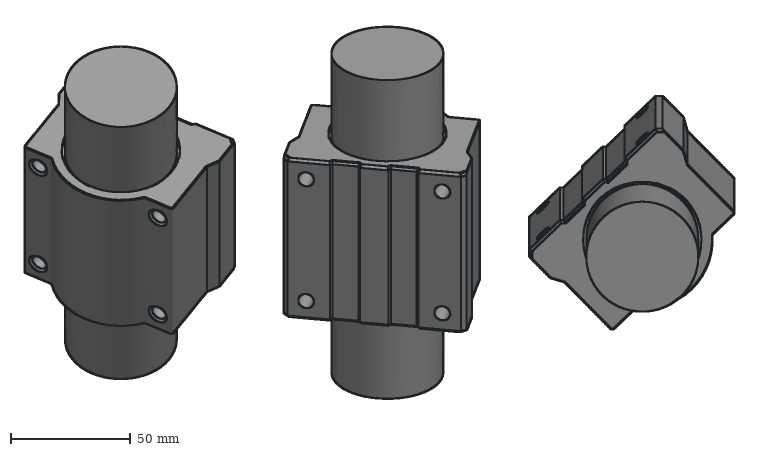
import cadquery as cq
import math

shaft_length = 152.0
shaft_diameter = 47.0

block_length = 76.0
flange_half_width = 78.0 / 2
body_half_width = 36.0
mounting_face_y = 30.0
front_face_y = -19.0
barrel_radius = 29.5
flange_taper_start_y = 15.2
flange_taper_end_y = 9.7
back_corner_chamfer = 2.0
edge_fillet = 1.0

groove_inner_x = 7.0
groove_outer_x = 18.0
groove_depth = 1.0
groove_wall_slant = 0.9

back_end_chamfer = 1.2
rim_chamfer = 0.3

recess_diameter = 49.5
recess_depth = 2.0

hole_diameter = 6.7
hole_mouth_diameter = 8.8
hole_offset_x = 29.0
hole_offset_z = 29.0


def make_block_blank():
    """Flanged block with the half-round barrel bulging out of its front face."""
    barrel_half_width = math.sqrt(barrel_radius**2 - front_face_y**2)
    profile = (
        cq.Workplane("XY")
        .workplane(offset=-block_length / 2)
        .moveTo(-flange_half_width + back_corner_chamfer, mounting_face_y)
        .lineTo(flange_half_width - back_corner_chamfer, mounting_face_y)
        .lineTo(flange_half_width, mounting_face_y - back_corner_chamfer)
        .lineTo(flange_half_width, flange_taper_start_y)
        .lineTo(body_half_width, flange_taper_end_y)
        .lineTo(body_half_width, front_face_y)
        .lineTo(barrel_half_width, front_face_y)
        .threePointArc((0, -barrel_radius), (-barrel_half_width, front_face_y))
        .lineTo(-body_half_width, front_face_y)
        .lineTo(-body_half_width, flange_taper_end_y)
        .lineTo(-flange_half_width, flange_taper_start_y)
        .lineTo(-flange_half_width, mounting_face_y - back_corner_chamfer)
        .close()
    )
    blank = profile.extrude(block_length)
    front_edges = blank.edges("|Z").filter(lambda edge: math.isclose(edge.Center().y, front_face_y))
    return blank.newObject(front_edges.vals()).fillet(edge_fillet)


def cut_grooves(block):
    for side in (-1, 1):
        groove = (
            cq.Workplane("XY")
            .workplane(offset=-block_length / 2)
            .moveTo(side * groove_inner_x, mounting_face_y - groove_depth)
            .lineTo(side * groove_outer_x, mounting_face_y - groove_depth)
            .lineTo(side * (groove_outer_x + groove_wall_slant), mounting_face_y)
            .lineTo(side * (groove_inner_x - groove_wall_slant), mounting_face_y)
            .close()
            .extrude(block_length)
        )
        block = block.cut(groove)
    return block


def bevel_ends(block):
    """Wide bevel along the mounting face, narrow bevel around the rest of each end."""
    back_limit_y = mounting_face_y - back_corner_chamfer
    end_edges = block.faces("<Z or >Z").edges()
    back_edges = end_edges.filter(lambda edge: edge.Center().y > back_limit_y)
    block = block.newObject(back_edges.vals()).chamfer(back_end_chamfer)
    end_edges = block.faces("<Z or >Z").edges()
    rim_edges = end_edges.filter(lambda edge: edge.Center().y < back_limit_y)
    block = block.newObject(rim_edges.vals()).chamfer(rim_chamfer)
    return block


def cut_recesses(block):
    for side in (-1, 1):
        center_z = side * block_length / 2
        recess = cq.Workplane("XY").circle(recess_diameter / 2).extrude(recess_depth, both=True)
        block = block.cut(recess.translate((0, 0, center_z)))
    return block


def make_hole_cutter():
    """Through hole with a 45-degree countersink at the front face."""
    hole_radius = hole_diameter / 2
    mouth_radius = hole_mouth_diameter / 2
    countersink_depth = mouth_radius - hole_radius
    return (
        cq.Workplane("XY")
        .moveTo(0, front_face_y)
        .lineTo(mouth_radius, front_face_y)
        .lineTo(hole_radius, front_face_y + countersink_depth)
        .lineTo(hole_radius, mounting_face_y)
        .lineTo(0, mounting_face_y)
        .close()
        .revolve(360, (0, 0, 0), (0, 1, 0))
    )


def drill_holes(block):
    cutter = make_hole_cutter()
    for side_x in (-1, 1):
        for side_z in (-1, 1):
            block = block.cut(cutter.translate((side_x * hole_offset_x, 0, side_z * hole_offset_z)))
    return block


block = drill_holes(cut_recesses(bevel_ends(cut_grooves(make_block_blank()))))
shaft = cq.Workplane("XY").circle(shaft_diameter / 2).extrude(shaft_length / 2, both=True)
result = block.union(shaft)